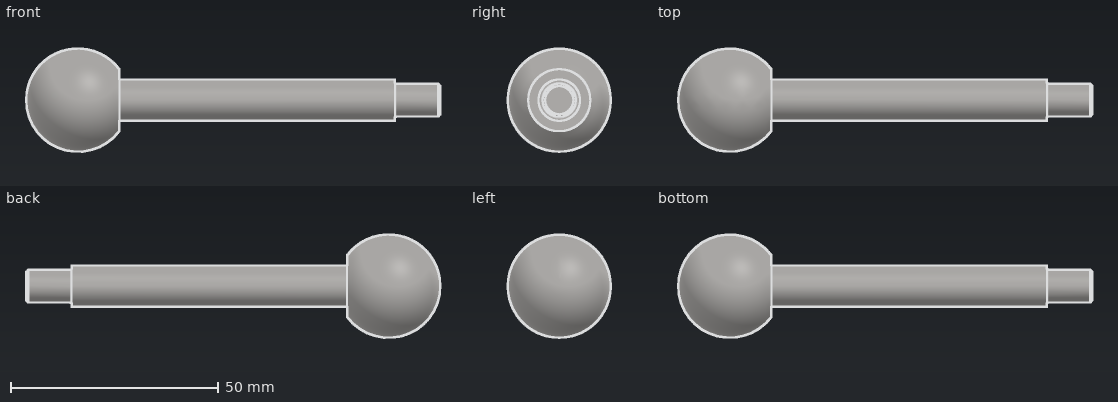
import cadquery as cq
import math

ball_diameter = 25.0
flat_diameter = 15.0

overall_length = 100.0
shaft_diameter = 10.0
tip_diameter = 8.0
tip_length = 11.0
tip_chamfer = 0.6
tip_root_fillet = 0.3

ball_radius = ball_diameter / 2
flat_radius = flat_diameter / 2
shaft_radius = shaft_diameter / 2
tip_radius = tip_diameter / 2

ball_start_x = -ball_radius
flat_x = math.sqrt(ball_radius**2 - flat_radius**2)
tip_end_x = ball_start_x + overall_length
shoulder_x = tip_end_x - tip_length


def turned_profile():
    """Half section in the XZ plane, from the ball pole to the tip end."""
    return (
        cq.Workplane("XZ")
        .moveTo(ball_start_x, 0)
        .threePointArc((0, ball_radius), (flat_x, flat_radius))
        .lineTo(flat_x, shaft_radius)
        .lineTo(shoulder_x, shaft_radius)
        .lineTo(shoulder_x, tip_radius + tip_root_fillet)
        .radiusArc((shoulder_x + tip_root_fillet, tip_radius), -tip_root_fillet)
        .lineTo(tip_end_x - tip_chamfer, tip_radius)
        .lineTo(tip_end_x, tip_radius - tip_chamfer)
        .lineTo(tip_end_x, 0)
        .close()
    )


result = turned_profile().revolve(360, (0, 0, 0), (1, 0, 0))